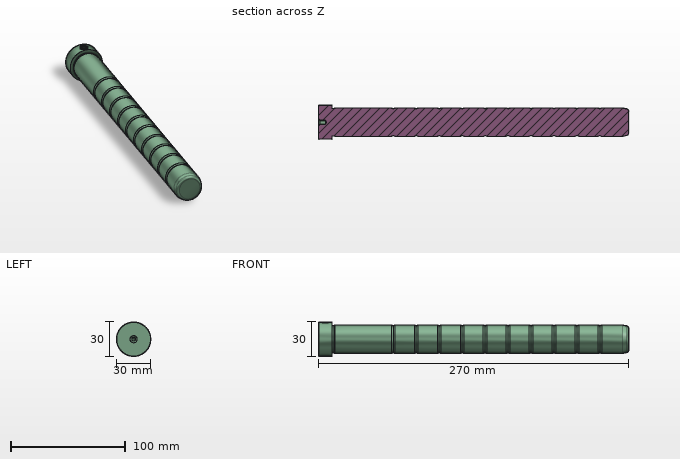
import cadquery as cq

length = 270.0
head_diameter = 30.0
head_length = 12.0
head_chamfer = 0.3
shank_diameter = 25.0

undercut_depth = 0.5
undercut_length = 2.5
undercut_taper = 0.8

groove_count = 10
groove_pitch = 20.0
first_groove_x = 65.0
groove_width = 3.2
groove_depth = 0.8

lead_in_length = 3.2
lead_in_depth = 0.8
tip_radius = 2.2

center_hole_diameter = 3.2
center_mouth_diameter = 6.2
center_hole_depth = 6.0
drill_point_length = 0.8

port_diameter = 3.2
port_depth = 2.7
port_ring_outer_diameter = 7.3
port_ring_inner_diameter = 5.7
port_ring_depth = 0.5

head_radius = head_diameter / 2
shank_radius = shank_diameter / 2
port_x = head_length / 2


def make_body():
    """Revolve the headed pin about the X axis."""
    undercut_radius = shank_radius - undercut_depth
    undercut_end = head_length + undercut_length
    lead_radius = shank_radius - lead_in_depth
    round_start = length - tip_radius
    diagonal = tip_radius * 0.5 ** 0.5

    profile = (
        cq.Workplane("XY")
        .moveTo(0, 0)
        .lineTo(0, head_radius - head_chamfer)
        .lineTo(head_chamfer, head_radius)
        .lineTo(head_length, head_radius)
        .lineTo(head_length, undercut_radius)
        .lineTo(undercut_end - undercut_taper, undercut_radius)
        .lineTo(undercut_end, shank_radius)
    )
    for i in range(groove_count):
        center = first_groove_x + i * groove_pitch
        profile = (
            profile.lineTo(center - groove_width / 2, shank_radius)
            .lineTo(center, shank_radius - groove_depth)
            .lineTo(center + groove_width / 2, shank_radius)
        )
    profile = (
        profile.lineTo(round_start - lead_in_length, shank_radius)
        .lineTo(round_start, lead_radius)
        .threePointArc(
            (round_start + diagonal, lead_radius - tip_radius + diagonal),
            (length, lead_radius - tip_radius),
        )
        .lineTo(length, 0)
        .close()
    )
    return profile.revolve(360, (0, 0, 0), (1, 0, 0))


def make_center_hole():
    """Solid of the center drilling, going into the head face along +X."""
    radius = center_hole_diameter / 2
    mouth_radius = center_mouth_diameter / 2
    countersink_depth = mouth_radius - radius
    return (
        cq.Workplane("XY")
        .moveTo(0, 0)
        .lineTo(0, mouth_radius)
        .lineTo(countersink_depth, radius)
        .lineTo(center_hole_depth, radius)
        .lineTo(center_hole_depth + drill_point_length, 0)
        .close()
        .revolve(360, (0, 0, 0), (1, 0, 0))
    )


def make_port():
    """Solids of the blind hole and of the ring groove that follows the round head."""
    hole = (
        cq.Workplane("XY", origin=(port_x, 0, head_radius - port_depth))
        .circle(port_diameter / 2)
        .extrude(port_depth)
    )
    groove_floor = (
        cq.Workplane("YZ")
        .circle(head_radius - port_ring_depth)
        .extrude(head_length)
    )
    ring = (
        cq.Workplane("XY", origin=(port_x, 0, 0))
        .circle(port_ring_outer_diameter / 2)
        .circle(port_ring_inner_diameter / 2)
        .extrude(head_radius)
        .cut(groove_floor)
    )
    return hole, ring


port_hole, port_ring = make_port()
result = make_body().cut(make_center_hole()).cut(port_hole).cut(port_ring)